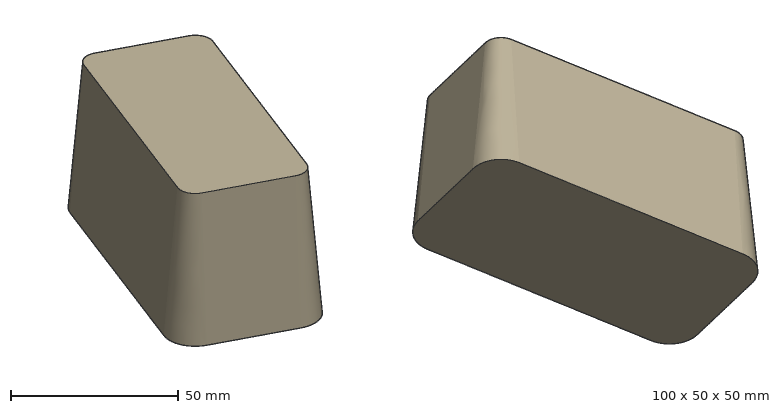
import cadquery as cq

base_length = 100.0
base_width = 50.0
height = 50.0
base_corner_radius = 10.0

draft_angle = 5.0


def drafted_block():
    """Solid block with rounded corners, narrowing evenly from base to top."""
    footprint = (
        cq.Sketch()
        .rect(base_length, base_width)
        .vertices()
        .fillet(base_corner_radius)
    )
    return cq.Workplane("XY").placeSketch(footprint).extrude(height, taper=draft_angle)


result = drafted_block()